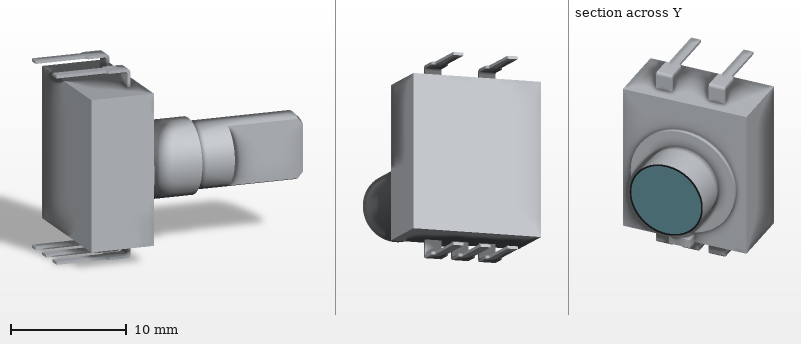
import cadquery as cq


BODY_WIDTH = 11.75
BODY_DEPTH = 5.81
BODY_HEIGHT = 13.7
BODY_CENTER_Z = 0.82

FLANGE_DIAMETER = 9.88
FLANGE_END = 0.42
BUSHING_DIAMETER = 6.85
BUSHING_END = 5.45
SHAFT_DIAMETER = 6.0
SHAFT_END = 15.62
SHAFT_CHAMFER = 0.5
FLAT_OFFSET = 1.36
FLAT_START = 8.64

TAB_WIDTH = 2.0
TAB_HEIGHT = 0.8
TAB_LENGTH = 1.13

OVERALL_LENGTH = 23.53
OVERALL_HEIGHT = 17.01
PIN_PITCH = 2.5
PIN_THICKNESS = 0.25
PIN_OUTER_BEND = 0.28
PIN_INNER_BEND = 0.2
PIN_WIDE = 1.5
PIN_NARROW = 0.95
PIN_BACK = -1.18
PIN_TAPER_START = -3.1
PIN_TAPER_END = -3.32
PIN_TIP = SHAFT_END - OVERALL_LENGTH
UPPER_PIN_POSITIONS = (-PIN_PITCH, PIN_PITCH)
LOWER_PIN_POSITIONS = (-PIN_PITCH, 0, PIN_PITCH)


def cylinder_to(diameter, end):
    """Cylinder on the shaft axis from the body face to Y = end."""
    return cq.Workplane("XZ").circle(diameter / 2).extrude(-end)


def make_body():
    return cq.Workplane("XY").box(BODY_WIDTH, BODY_DEPTH, BODY_HEIGHT).translate(
        (0, -BODY_DEPTH / 2, BODY_CENTER_Z)
    )


def make_shaft():
    shaft = cylinder_to(SHAFT_DIAMETER, SHAFT_END).faces(">Y").chamfer(SHAFT_CHAMFER)
    flat_cutter = cq.Workplane("XY").box(
        SHAFT_DIAMETER, SHAFT_END - FLAT_START, SHAFT_DIAMETER, centered=(False, False, True)
    )
    return shaft.cut(flat_cutter.translate((FLAT_OFFSET, FLAT_START, 0)))


def make_tab():
    tab = cq.Workplane("XY").box(TAB_WIDTH, TAB_LENGTH, TAB_HEIGHT, centered=(True, False, False))
    return tab.translate((0, 0, BODY_CENTER_Z - BODY_HEIGHT / 2))


def make_upper_pin():
    """Terminal at X = 0 that leaves the body's top and bends toward -Y."""
    root = BODY_CENTER_Z + BODY_HEIGHT / 2
    top = BODY_CENTER_Z + OVERALL_HEIGHT / 2
    strip = (
        cq.Workplane("YZ")
        .moveTo(PIN_BACK, root)
        .lineTo(PIN_BACK, top)
        .lineTo(PIN_TIP, top)
        .lineTo(PIN_TIP, top - PIN_THICKNESS)
        .lineTo(PIN_BACK - PIN_THICKNESS, top - PIN_THICKNESS)
        .lineTo(PIN_BACK - PIN_THICKNESS, root)
        .close()
        .extrude(PIN_WIDE / 2, both=True)
    )
    inner_corner = cq.selectors.NearestToPointSelector(
        (0, PIN_BACK - PIN_THICKNESS, top - PIN_THICKNESS)
    )
    strip = strip.edges("|X and >Z and >Y").fillet(PIN_OUTER_BEND)
    strip = strip.edges("|X").edges(inner_corner).fillet(PIN_INNER_BEND)
    half_outline = [
        (PIN_WIDE / 2, PIN_BACK),
        (PIN_WIDE / 2, PIN_TAPER_START),
        (PIN_NARROW / 2, PIN_TAPER_END),
        (PIN_NARROW / 2, PIN_TIP),
    ]
    mirrored_half = [(-x, y) for x, y in reversed(half_outline)]
    outline = cq.Workplane("XY").workplane(offset=root).polyline(half_outline + mirrored_half).close()
    return strip.intersect(outline.extrude(top - root))


result = (
    make_body()
    .union(cylinder_to(FLANGE_DIAMETER, FLANGE_END))
    .union(cylinder_to(BUSHING_DIAMETER, BUSHING_END))
    .union(make_shaft())
    .union(make_tab())
)
upper_pin = make_upper_pin()
lower_pin = upper_pin.mirror("XY", (0, 0, BODY_CENTER_Z))
for x in UPPER_PIN_POSITIONS:
    result = result.union(upper_pin.translate((x, 0, 0)))
for x in LOWER_PIN_POSITIONS:
    result = result.union(lower_pin.translate((x, 0, 0)))